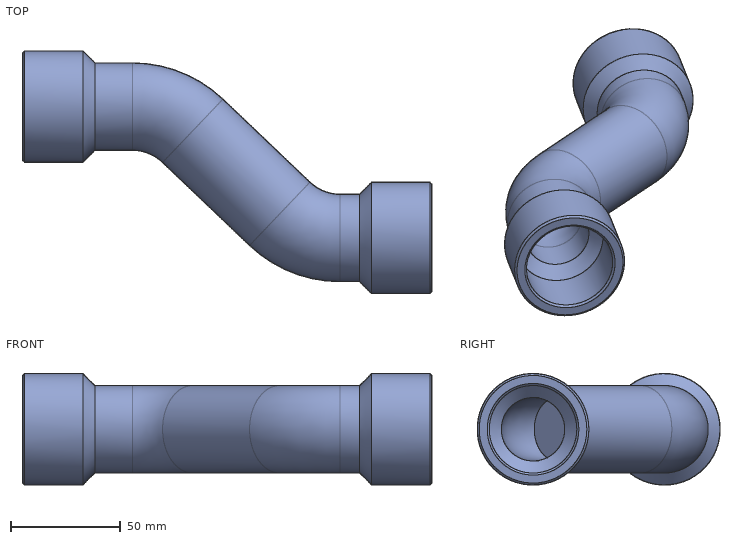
import cadquery as cq
import math

overall_length = 187.0
lateral_offset = 60.0
socket_diameter = 51.0
pipe_diameter = 40.0
bore_diameter = 29.0

socket_length = 27.5
bore_depth = 26.5
taper_length = (pipe_diameter - bore_diameter) / 2
cone_length = (socket_diameter - pipe_diameter) / 2
inlet_to_bend = 50.1
outlet_to_bend = 41.9
bend_radius = 40.0
rim_chamfer = 1.0

left_x = -overall_length / 2
right_x = overall_length / 2
left_y = lateral_offset / 2
right_y = -lateral_offset / 2
bend_start_x = left_x + inlet_to_bend
bend_end_x = right_x - outlet_to_bend
centre_dx = bend_end_x - bend_start_x
centre_dy = 2 * bend_radius - lateral_offset
straight_length = math.sqrt(centre_dx**2 + centre_dy**2 - (2 * bend_radius) ** 2)
bend_angle = math.atan2(2 * bend_radius, straight_length) - math.atan2(centre_dy, centre_dx)


def bend_points(start_x, axis_y, inward):
    """Middle and far end of the bend starting at start_x; inward is its X direction there."""
    points = []
    for angle in (bend_angle / 2, bend_angle):
        along = bend_radius * math.sin(angle)
        sideways = bend_radius * (1 - math.cos(angle))
        points.append((start_x + inward * along, axis_y - inward * sideways))
    return points


def neck_and_bend(diameter, socket_x, start_x, axis_y, inward):
    """Round bar from the inner end of a socket cone to the far end of its bend."""
    neck_x = socket_x + inward * (socket_length + cone_length)
    middle, end = bend_points(start_x, axis_y, inward)
    path = (
        cq.Workplane("XY")
        .moveTo(neck_x, axis_y)
        .lineTo(start_x, axis_y)
        .threePointArc(middle, end)
    )
    section = cq.Workplane("YZ", origin=(neck_x, axis_y, 0)).circle(diameter / 2)
    return section.sweep(path)


def hollow_arm(*placement):
    """Neck and bend, bored through to the solid middle section."""
    outside = neck_and_bend(pipe_diameter, *placement)
    inside = neck_and_bend(bore_diameter, *placement)
    return outside.cut(inside)


def middle_section():
    """Solid cylinder that joins the two bends and closes both bores."""
    start_x, start_y = bend_points(bend_start_x, left_y, 1)[1]
    direction = (math.cos(bend_angle), -math.sin(bend_angle), 0)
    base = cq.Plane(origin=(start_x, start_y, 0), xDir=(0, 0, 1), normal=direction)
    return cq.Workplane(base).circle(pipe_diameter / 2).extrude(straight_length)


def socket(end_x, axis_y, inward):
    """Revolved socket with chamfered rims; inward is the X direction into the part."""
    outer = socket_diameter / 2
    inner = pipe_diameter / 2
    bore = bore_diameter / 2
    shoulder_x = end_x + inward * socket_length
    neck_x = shoulder_x + inward * cone_length
    bore_end_x = end_x + inward * bore_depth
    taper_end_x = bore_end_x + inward * taper_length
    chamfer_x = end_x + inward * rim_chamfer
    profile = [
        (end_x, inner + rim_chamfer),
        (end_x, outer - rim_chamfer),
        (chamfer_x, outer),
        (shoulder_x, outer),
        (neck_x, inner),
        (neck_x, bore),
        (taper_end_x, bore),
        (bore_end_x, inner),
        (chamfer_x, inner),
    ]
    return (
        cq.Workplane("XY", origin=(0, axis_y, 0))
        .polyline(profile)
        .close()
        .revolve(360, (0, 0, 0), (1, 0, 0))
    )


left_arm = hollow_arm(left_x, bend_start_x, left_y, 1)
right_arm = hollow_arm(right_x, bend_end_x, right_y, -1)
left_socket = socket(left_x, left_y, 1)
right_socket = socket(right_x, right_y, -1)
result = middle_section().union(left_arm).union(right_arm).union(left_socket).union(right_socket)